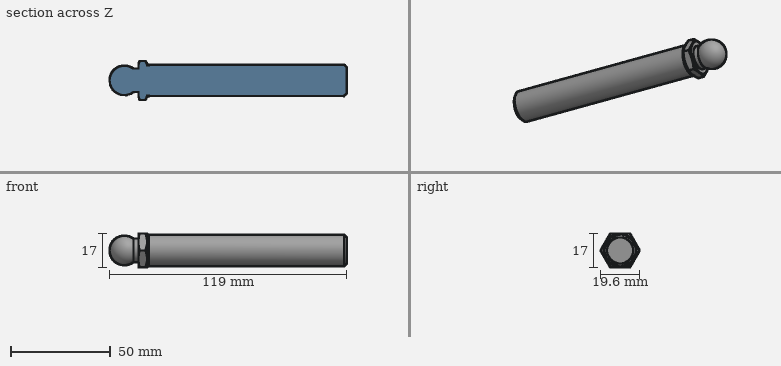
import cadquery as cq
import math

total_length = 119.0
ball_diameter = 15.0
neck_diameter = 12.0
hex_start = 14.5
hex_thickness = 4.5
hex_across_flats = 17.0
shaft_diameter = 16.0
shaft_end_chamfer = 1.4
relief_diameter = 15.2
relief_width = 0.7

front_face_diameter = 16.7
rear_face_diameter = 16.4
front_chamfer_depth = 0.6
rear_chamfer_depth = 1.0

ball_radius = ball_diameter / 2
neck_radius = neck_diameter / 2
shaft_radius = shaft_diameter / 2
relief_radius = relief_diameter / 2
hex_end = hex_start + hex_thickness
hex_corner_radius = hex_across_flats / math.sqrt(3)
shaft_start = hex_end + relief_width


def revolve_about_x(profile):
    """Turn a closed XY profile about the X axis."""
    return profile.close().revolve(360, (0, 0, 0), (1, 0, 0))


def make_ball_and_neck():
    """Ball whose rear runs into a cylindrical neck, ending inside the hexagon."""
    neck_start = ball_radius + math.sqrt(ball_radius**2 - neck_radius**2)
    profile = (
        cq.Workplane("XY")
        .threePointArc((ball_radius, ball_radius), (neck_start, neck_radius))
        .lineTo(hex_end, neck_radius)
        .lineTo(hex_end, 0)
    )
    return revolve_about_x(profile)


def make_hexagon():
    """Hexagon with corners along Y, trimmed by a cone at each face."""
    prism = (
        cq.Workplane("YZ", origin=(hex_start, 0, 0))
        .polygon(6, 2 * hex_corner_radius)
        .extrude(hex_thickness)
    )
    trim_profile = (
        cq.Workplane("XY")
        .moveTo(hex_start, 0)
        .lineTo(hex_start, front_face_diameter / 2)
        .lineTo(hex_start + front_chamfer_depth, hex_corner_radius)
        .lineTo(hex_end - rear_chamfer_depth, hex_corner_radius)
        .lineTo(hex_end, rear_face_diameter / 2)
        .lineTo(hex_end, 0)
    )
    return prism.intersect(revolve_about_x(trim_profile))


def make_shaft():
    """Plain shaft with a shallow relief behind the hexagon and a chamfered end."""
    profile = (
        cq.Workplane("XY")
        .moveTo(hex_start, 0)
        .lineTo(hex_start, relief_radius)
        .lineTo(shaft_start, relief_radius)
        .lineTo(shaft_start, shaft_radius)
        .lineTo(total_length - shaft_end_chamfer, shaft_radius)
        .lineTo(total_length, shaft_radius - shaft_end_chamfer)
        .lineTo(total_length, 0)
    )
    return revolve_about_x(profile)


result = make_hexagon().union(make_ball_and_neck()).union(make_shaft())